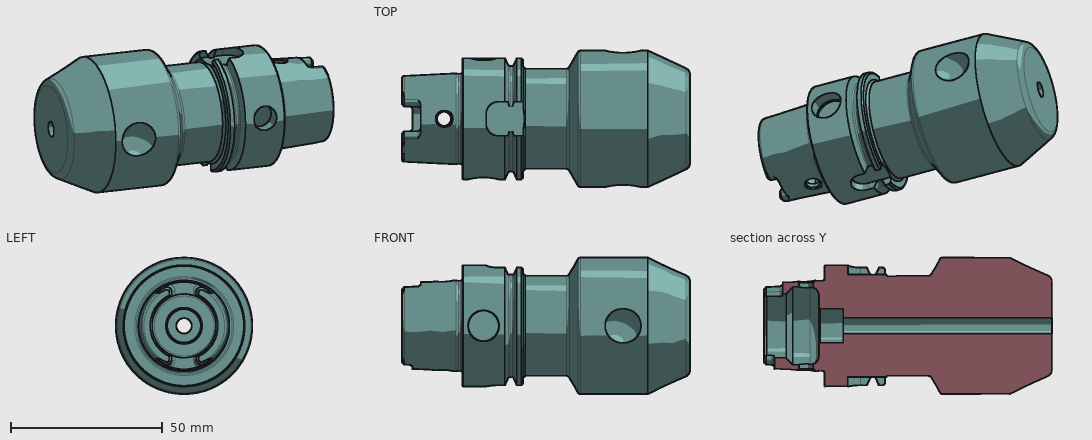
import cadquery as cq
import math


shank_length = 19.9
shank_root_radius = 15.0
taper_slope = 0.05
taper_end_x = -2.1
front_fillet = 0.85
relief_radius = 14.855
relief_start_x = -1.4
face_recess_radius = 16.3
face_recess_angle = 8.0
face_recess_fillet = 0.8

flange_radius = 20.0
flange_length = 20.0
flange_front_chamfer = 0.3
flange_rear_chamfer = 0.6
groove_center_x = 16.0
groove_radius = 17.4
groove_half_mouth = 1.95
groove_half_floor = 0.75
groove_floor_fillet = 0.6

neck_radius = 16.5
neck_relief = 0.8
body_radius = 22.5
body_start_x = 38.3
body_cone_angle = 60.0
body_cone_fillet = 1.0
nose_start_x = 61.1
nose_angle = 25.0
nose_fillet = 2.5
nose_end_x = 75.0

mouth_radius = 10.5
mouth_chamfer = 0.65
mouth_chamfer_length = 0.9
lip_end_x = -12.55
undercut_radius = 12.75
cavity_floor_x = -1.8
cavity_fillet = 2.9
counterbore_radius = 5.5
counterbore_chamfer = 0.5
counterbore_depth = 8.0
coolant_radius = 2.5

drive_slot_width = 8.06
drive_slot_floor_top_x = -13.7
drive_slot_floor_bottom_x = -16.4
drive_slot_floor_fillet = 1.0
drive_slot_mouth_chamfer = 0.8
drive_slot_flare = 3.0
tang_rounding = 1.65

radial_hole_x = -6.0
radial_hole_diameter = 4.6
radial_hole_countersink = 5.9

key_slot_end_x = 7.85
key_slot_floor = 16.9
key_slot_corner = 4.0
key_slot_width_top = 11.2
key_slot_width_bottom = 2 * key_slot_corner
key_slot_corner_clearance = 0.001

pocket_x = 7.0
pocket_floor = 15.0
front_pocket_diameter = 10.25
front_pocket_seat_diameter = 10.0
front_pocket_seat_depth = 0.6
rear_pocket_diameter = 8.0
rear_pocket_z = 1.6

dimple_x = 52.9
dimple_radius = 6.25
dimple_center_y = body_radius + 2.0


def shank_radius(x):
    """Outer radius of the tapered shank at a given X."""
    return shank_root_radius + taper_slope * (x - taper_end_x)


def revolve_about_x(profile):
    """Solid of revolution from a closed profile drawn as (x, radius)."""
    return profile.close().revolve(360, (0, 0, 0), (1, 0, 0))


def round_rim(solid, x, radius, size):
    """Fillet the circular edge of given X and radius."""
    margin = 0.01
    reach = radius + margin
    selector = cq.selectors.BoxSelector(
        (x - margin, -reach, -reach), (x + margin, reach, reach), boundingbox=True
    )
    return solid.edges(selector).fillet(size)


def half_turn(feature):
    """Copy of a feature turned to the opposite side of the axis."""
    return feature.rotate((0, 0, 0), (1, 0, 0), 180)


def turned_body():
    """Outside of the holder, from the shank end to the nose."""
    cone_length = (body_radius - neck_radius) / math.tan(math.radians(body_cone_angle))
    neck_end_x = body_start_x - cone_length
    nose_drop = (nose_end_x - nose_start_x) * math.tan(math.radians(nose_angle))
    nose_radius = body_radius - nose_drop
    front_radius = shank_radius(-shank_length)
    face_recess_depth = (face_recess_radius - relief_radius) * math.tan(math.radians(face_recess_angle))
    groove_front_x = groove_center_x - groove_half_floor
    groove_rear_x = groove_center_x + groove_half_floor
    profile = cq.Workplane("XY").polyline([
        (-shank_length, 0),
        (-shank_length, front_radius),
        (taper_end_x, shank_root_radius),
        (relief_start_x, relief_radius),
        (face_recess_depth, relief_radius),
        (0, face_recess_radius),
        (0, flange_radius - flange_front_chamfer),
        (flange_front_chamfer, flange_radius),
        (groove_center_x - groove_half_mouth, flange_radius),
        (groove_front_x, groove_radius),
        (groove_rear_x, groove_radius),
        (groove_center_x + groove_half_mouth, flange_radius),
        (flange_length - flange_rear_chamfer, flange_radius),
        (flange_length, flange_radius - flange_rear_chamfer),
        (flange_length, neck_radius + neck_relief),
        (flange_length + neck_relief, neck_radius),
        (neck_end_x, neck_radius),
        (body_start_x, body_radius),
        (nose_start_x, body_radius),
        (nose_end_x, nose_radius),
        (nose_end_x, 0),
    ])
    body = revolve_about_x(profile)
    body = round_rim(body, -shank_length, front_radius, front_fillet)
    body = round_rim(body, face_recess_depth, relief_radius, face_recess_fillet)
    body = round_rim(body, groove_front_x, groove_radius, groove_floor_fillet)
    body = round_rim(body, groove_rear_x, groove_radius, groove_floor_fillet)
    body = round_rim(body, neck_end_x, neck_radius, body_cone_fillet)
    body = round_rim(body, body_start_x, body_radius, body_cone_fillet)
    return round_rim(body, nose_end_x, nose_radius, nose_fillet)


def inner_hollow():
    """Mouth, undercut with rounded floor, counterbore and through coolant bore."""
    undercut_start_x = lip_end_x + undercut_radius - mouth_radius
    counterbore_end_x = cavity_floor_x + counterbore_depth
    fillet_start_x = cavity_floor_x - cavity_fillet
    fillet_end_radius = undercut_radius - cavity_fillet
    fillet_middle = cavity_fillet * math.sqrt(0.5)
    profile = (
        cq.Workplane("XY")
        .moveTo(-shank_length, 0)
        .lineTo(-shank_length, mouth_radius + mouth_chamfer)
        .lineTo(-shank_length + mouth_chamfer_length, mouth_radius)
        .lineTo(lip_end_x, mouth_radius)
        .lineTo(undercut_start_x, undercut_radius)
        .lineTo(fillet_start_x, undercut_radius)
        .threePointArc(
            (fillet_start_x + fillet_middle, fillet_end_radius + fillet_middle),
            (cavity_floor_x, fillet_end_radius),
        )
        .lineTo(cavity_floor_x, counterbore_radius + counterbore_chamfer)
        .lineTo(cavity_floor_x + counterbore_chamfer, counterbore_radius)
        .lineTo(counterbore_end_x, counterbore_radius)
        .lineTo(counterbore_end_x, coolant_radius)
        .lineTo(nose_end_x, coolant_radius)
        .lineTo(nose_end_x, 0)
    )
    return revolve_about_x(profile)


def drive_slot_outline(x, radius, growth):
    """Slot section at a given X, flared so the tang corners run out smoothly into a shank of that radius."""
    rounding = tang_rounding - growth
    half_width = drive_slot_width / 2 + growth
    center_y = half_width + rounding
    center_z = math.sqrt((radius - tang_rounding) ** 2 - center_y ** 2)
    lean = math.atan2(center_y, center_z)
    arc_middle = (lean - math.pi / 2) / 2
    mid_y = center_y + rounding * math.sin(arc_middle)
    mid_z = center_z + rounding * math.cos(arc_middle)
    end_y = center_y + rounding * math.sin(lean)
    end_z = center_z + rounding * math.cos(lean)
    far_y = end_y + drive_slot_flare * math.cos(lean)
    far_z = end_z - drive_slot_flare * math.sin(lean)
    outline = (
        cq.Workplane("YZ", origin=(x, 0, 0))
        .moveTo(-half_width, 0)
        .lineTo(half_width, 0)
        .lineTo(half_width, center_z)
        .threePointArc((mid_y, mid_z), (end_y, end_z))
        .lineTo(far_y, far_z)
        .lineTo(far_y, flange_radius)
        .lineTo(-far_y, flange_radius)
        .lineTo(-far_y, far_z)
        .lineTo(-end_y, end_z)
        .threePointArc((-mid_y, mid_z), (-half_width, center_z))
        .close()
    )
    return outline.wires().val()


def ruled_loft(first_wire, second_wire):
    """Solid with straight sides between two outlines."""
    return cq.Workplane(cq.Solid.makeLoft([first_wire, second_wire], True))


def drive_slot(floor_x):
    """Upward slot open at the shank end, with filleted floor and chamfered mouth."""
    front_x = -shank_length
    mouth_end_x = front_x + drive_slot_mouth_chamfer
    front_radius = shank_radius(front_x)
    slot = ruled_loft(
        drive_slot_outline(front_x, front_radius, 0),
        drive_slot_outline(floor_x, shank_radius(floor_x), 0),
    )
    slot = slot.faces(">X").edges("not(<Z or >Z)").fillet(drive_slot_floor_fillet)
    mouth = ruled_loft(
        drive_slot_outline(front_x, front_radius, drive_slot_mouth_chamfer),
        drive_slot_outline(mouth_end_x, shank_radius(mouth_end_x), 0),
    )
    return slot.union(mouth)


def radial_hole():
    """Hole through both shank walls, countersunk on the outside."""
    outside = shank_radius(radial_hole_x)
    sink_depth = (radial_hole_countersink - radial_hole_diameter) / 2
    section = [
        (0, 0),
        (radial_hole_diameter / 2, 0),
        (radial_hole_diameter / 2, outside - sink_depth),
        (radial_hole_countersink / 2, outside),
        (radial_hole_countersink / 2, flange_radius),
        (0, flange_radius),
    ]
    upper = (
        cq.Workplane("XZ", origin=(radial_hole_x, 0, 0))
        .polyline(section)
        .close()
        .revolve(360, (0, 0, 0), (0, 1, 0))
    )
    return upper.union(half_turn(upper))


def key_slot(width):
    """Upward key slot, open toward the rear of the flange."""
    length = flange_length + neck_relief - key_slot_end_x
    return (
        cq.Workplane("XY", origin=(key_slot_end_x + length / 2, 0, key_slot_floor))
        .rect(length, width)
        .extrude(flange_radius)
        .edges("|Z and <X")
        .fillet(key_slot_corner - key_slot_corner_clearance)
    )


def pocket_bore(diameter, floor):
    """Flat-bottomed blind hole on the -Y side of the flange, its floor at the given distance from the axis."""
    return (
        cq.Workplane("XZ", origin=(pocket_x, -floor, 0))
        .circle(diameter / 2)
        .extrude(flange_radius)
    )


def front_pocket():
    """Pocket on the -Y side with a slightly narrower seat at its floor."""
    bore = pocket_bore(front_pocket_diameter, pocket_floor + front_pocket_seat_depth)
    return bore.union(pocket_bore(front_pocket_seat_diameter, pocket_floor))


def rear_pocket():
    """Smaller pocket on the +Y side, set off the center plane."""
    return half_turn(pocket_bore(rear_pocket_diameter, pocket_floor)).translate((0, 0, rear_pocket_z))


def dimple():
    """Ball that leaves a spherical dimple on the -Y side of the body."""
    return cq.Workplane("XY").sphere(dimple_radius).translate((dimple_x, -dimple_center_y, 0))


result = turned_body().cut(inner_hollow())
result = result.cut(drive_slot(drive_slot_floor_top_x))
result = result.cut(half_turn(drive_slot(drive_slot_floor_bottom_x)))
result = result.cut(radial_hole())
result = result.cut(key_slot(key_slot_width_top))
result = result.cut(half_turn(key_slot(key_slot_width_bottom)))
result = result.cut(front_pocket())
result = result.cut(rear_pocket())
result = result.cut(dimple()).cut(half_turn(dimple()))